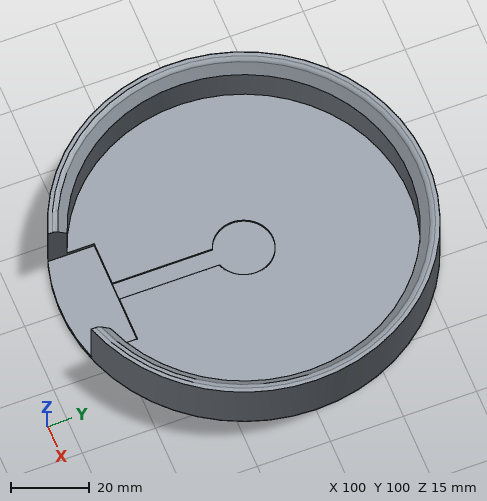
import cadquery as cq
import math

outer_radius = 50.0
height = 15.0
wall = 5.0
floor_thickness = 2.0

bevel_angle = math.radians(45)
rim_bevel = 3.0
rim_round = 2.0

keyhole_depth = 0.5
keyhole_radius = 8.0
channel_width = 5.0

opening_width = 30.0
opening_back_y = -35.0
opening_floor = 1.0

inner_radius = outer_radius - wall


def make_tray():
    """Revolve the wall and floor section about the Z axis."""
    corner_radius = inner_radius + rim_bevel
    half_angle = bevel_angle / 2
    tangent_length = rim_round * math.tan(half_angle)
    bevel_setback = tangent_length * math.cos(bevel_angle)
    round_center_x = corner_radius + tangent_length
    round_center_z = height - rim_round
    arc_middle = (
        round_center_x - rim_round * math.sin(half_angle),
        round_center_z + rim_round * math.cos(half_angle),
    )
    return (
        cq.Workplane("XZ")
        .lineTo(outer_radius, 0)
        .lineTo(outer_radius, height)
        .lineTo(round_center_x, height)
        .threePointArc(arc_middle, (corner_radius - bevel_setback, height - bevel_setback))
        .lineTo(inner_radius, height - rim_bevel)
        .lineTo(inner_radius, floor_thickness)
        .lineTo(0, floor_thickness)
        .close()
        .revolve(360, (0, 0, 0), (0, 1, 0))
    )


def make_keyhole():
    """Disc at the center with a straight channel running to the opening."""
    base = cq.Workplane("XY").workplane(offset=floor_thickness - keyhole_depth)
    disc = base.circle(keyhole_radius).extrude(keyhole_depth)
    channel_length = -opening_back_y
    channel = base.center(0, opening_back_y / 2).rect(channel_width, channel_length).extrude(keyhole_depth)
    return disc.union(channel)


def make_opening():
    """Block that clears the front wall above the sunken ledge."""
    depth = outer_radius + opening_back_y
    return (
        cq.Workplane("XY")
        .workplane(offset=opening_floor)
        .center(0, opening_back_y - depth / 2)
        .rect(opening_width, depth)
        .extrude(height - opening_floor)
    )


result = make_tray().cut(make_keyhole()).cut(make_opening())